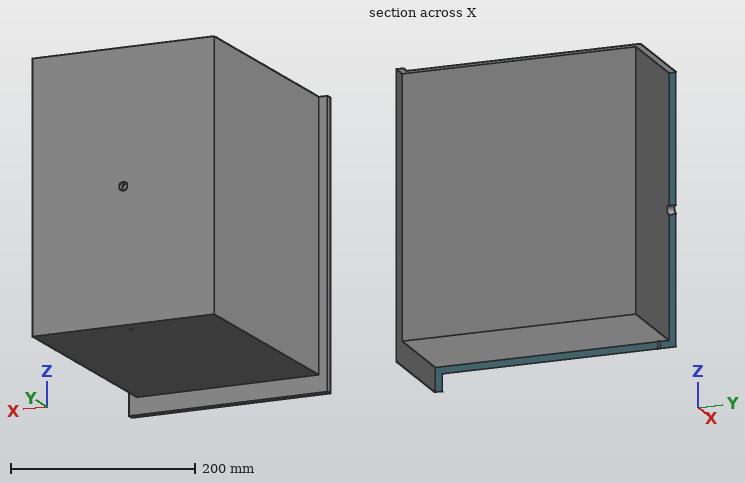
import cadquery as cq

flange_width = 237.0
depth = 280.0
height = 333.0

wall = 8.5
side_lip = 10.0
bottom_lip = 20.0
box_width = flange_width - 2 * side_lip
box_height = height - bottom_lip
inner_width = box_width - 2 * wall

back_hole_diameter = 10.0
floor_hole_diameter = 2.5
floor_hole_from_back = 20.0


def block(width, length, tall, front, bottom):
    """Block centred on X, starting at the given front and bottom faces."""
    return (
        cq.Workplane("XY")
        .box(width, length, tall, centered=(True, False, False))
        .translate((0, front, bottom))
    )


def hole_through_back():
    """Hole along Y through the back wall, at mid-height of the box."""
    return (
        cq.Workplane("XZ", origin=(0, depth, bottom_lip + box_height / 2))
        .circle(back_hole_diameter / 2)
        .extrude(wall)
    )


def hole_through_floor():
    """Small vertical hole through the floor, near the back wall."""
    return (
        cq.Workplane("XY", origin=(0, depth - floor_hole_from_back, bottom_lip))
        .circle(floor_hole_diameter / 2)
        .extrude(wall)
    )


box = block(box_width, depth, box_height, 0, bottom_lip)
flange = block(flange_width, wall, height, 0, 0)
cavity = block(inner_width, depth - wall, box_height - wall, 0, bottom_lip + wall)

result = box.union(flange).cut(cavity).cut(hole_through_back()).cut(hole_through_floor())